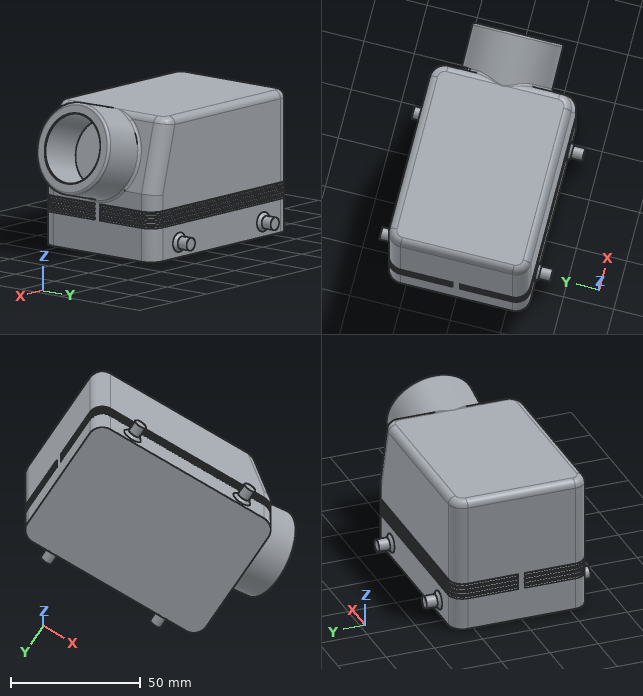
import cadquery as cq
import math

body_length = 81.7
body_width = 56.3
body_height = 56.0
corner_radius = 5.9
top_radius = 3.0

slope_angle = 15.0
slope_start_z = 26.8

spout_diameter = 36.1
spout_end_x = 96.4
spout_end_z = 44.0
spout_buried_length = 30.3
spout_rim_radius = 1.0
spout_root_radius = 1.0
bore_diameter = 27.0
bore_rim_chamfer = 0.3

groove_count = 4
groove_pitch = 1.8
groove_width = 1.1
groove_flank_angle = 45.0
groove_depth = groove_width / 2 * math.tan(math.radians(groove_flank_angle))
first_groove_z = 13.3
groove_gap = 2.8

pin_diameter = 5.0
pin_span = 68.0
pin_z = 6.0
pin_xs = (15.9, 65.9)
pin_flare = 1.3

slope_rad = math.radians(slope_angle)
spout_axis = cq.Vector(math.cos(slope_rad), 0, math.sin(slope_rad))
spout_end = cq.Vector(spout_end_x, 0, spout_end_z)
slope_start = cq.Vector(body_length, 0, slope_start_z)


def make_body():
    """Rounded block with a sloped end wall."""
    slope_top_x = body_length - (body_height - slope_start_z) * math.tan(slope_rad)
    profile = [
        (0, 0),
        (body_length, 0),
        (body_length, slope_start_z),
        (slope_top_x, body_height),
        (0, body_height),
    ]
    block = cq.Workplane("XZ").polyline(profile).close().extrude(body_width / 2, both=True)
    corner_edges = block.faces("<Y or >Y").edges("not(#Z)")
    block = corner_edges.fillet(corner_radius)
    return block.faces(">Z").edges().fillet(top_radius)


def spout_cylinder(diameter, length):
    """Cylinder running from the spout mouth back towards the body."""
    mouth = cq.Plane(origin=spout_end, xDir=(0, 1, 0), normal=-spout_axis)
    return cq.Workplane(mouth).circle(diameter / 2).extrude(length)


def add_spout(body):
    """Join the spout, round its rim and root, and bore it down to the sloped wall."""
    along_axis = cq.selectors.DirectionMinMaxSelector(spout_axis)
    spout = spout_cylinder(spout_diameter, spout_buried_length)
    spout = spout.faces(along_axis).edges().fillet(spout_rim_radius)
    hood = body.union(spout)

    barrel = hood.faces("%CYLINDER").faces(along_axis)
    root = barrel.edges("not %LINE").edges("not >X")
    hood = root.fillet(spout_root_radius)
    return hood.cut(make_bore())


def make_bore():
    """Blind bore with a bevelled mouth."""
    bore_depth = (spout_end - slope_start).dot(spout_axis)
    bore = spout_cylinder(bore_diameter, bore_depth)
    bevel = cq.Solid.makeCone(
        bore_diameter / 2 + bore_rim_chamfer,
        bore_diameter / 2,
        bore_rim_chamfer,
        pnt=spout_end,
        dir=-spout_axis,
    )
    return bore.union(bevel)


def make_groove(z):
    """Ring that cuts one V groove around the body, with its lower lip at height z."""
    half_width = groove_width / 2
    slab = cq.Workplane("XY").box(
        body_length + 2 * groove_depth, body_width + 2 * groove_depth, groove_width
    )
    outline = cq.Sketch().rect(body_length, body_width).vertices().fillet(corner_radius)
    base = cq.Workplane("XY").workplane(offset=-half_width).placeSketch(outline)
    lower_half = base.extrude(half_width, taper=groove_flank_angle)
    upper_half = lower_half.mirror("XY")
    ring = slab.cut(lower_half).cut(upper_half)
    uncut_strip = cq.Workplane("XY").box(2 * body_length, groove_gap, groove_width)
    return ring.cut(uncut_strip).translate((body_length / 2, 0, z + half_width))


def cut_grooves(hood):
    """Cut the stack of evenly spaced grooves."""
    for index in range(groove_count):
        hood = hood.cut(make_groove(first_groove_z + index * groove_pitch))
    return hood


def add_pins(hood):
    """Add the pins, each with a conical flare where it meets the wall."""
    wall = body_width / 2
    radius = pin_diameter / 2
    half_profile = (
        cq.Workplane("XY")
        .moveTo(0, wall - pin_flare)
        .lineTo(radius + pin_flare, wall - pin_flare)
        .lineTo(radius + pin_flare, wall)
        .lineTo(radius, wall + pin_flare)
        .lineTo(radius, pin_span / 2)
        .lineTo(0, pin_span / 2)
        .close()
    )
    pin = half_profile.revolve(axisStart=(0, 0, 0), axisEnd=(0, 1, 0))
    pin_pair = pin.union(pin.mirror("XZ"))
    for x in pin_xs:
        hood = hood.union(pin_pair.translate((x, 0, pin_z)))
    return hood


result = add_pins(cut_grooves(add_spout(make_body())))